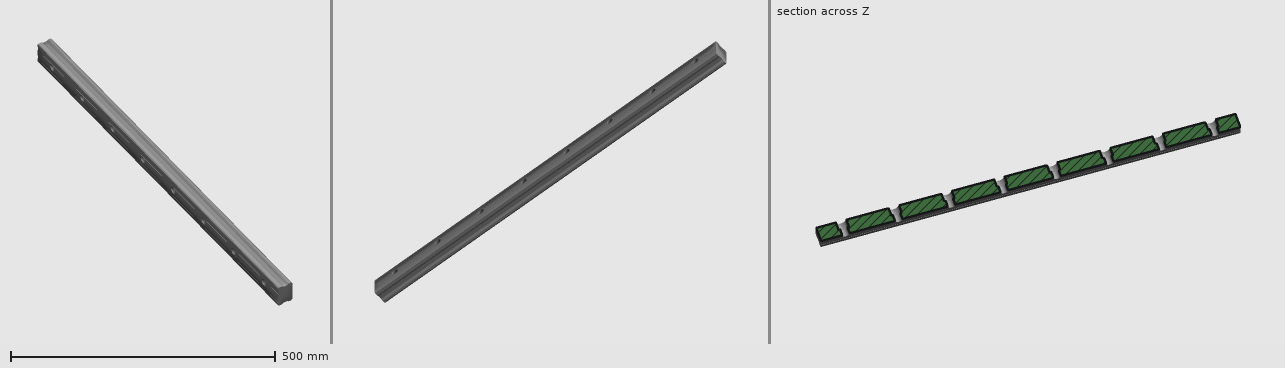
import cadquery as cq

length = 835.0
height = 32.0
width = 45.0

hole_pitch = 105.0
hole_count = 8
bolt_diameter = 14.0
bolt_head_diameter = 20.0
bolt_head_depth = 17.0

groove_depth = 2.5
groove_head_y = 8.5
groove_floor_top_y = 4.0
groove_floor_bottom_y = -4.0
lip_depth = 0.5
lip_y = -6.0
groove_base_y = -8.0

head_chamfer = 3.0
base_chamfer_y = 2.0
base_chamfer_z = 1.5

relief_depth = 0.5
relief_inner_z = bolt_diameter / 2
relief_outer_z = 14.5

base_y = -height / 2
head_y = height / 2
side_z = width / 2


def make_rail_body():
    """Grooved cross-section, symmetric about Z = 0, extruded along X."""
    floor_z = side_z - groove_depth
    relief_y = base_y + relief_depth
    upper_half = [
        (base_y, relief_inner_z),
        (relief_y, relief_inner_z),
        (relief_y, relief_outer_z),
        (base_y, relief_outer_z),
        (base_y, side_z - base_chamfer_z),
        (base_y + base_chamfer_y, side_z),
        (groove_base_y, side_z),
        (lip_y, side_z - lip_depth),
        (groove_floor_bottom_y, floor_z),
        (groove_floor_top_y, floor_z),
        (groove_head_y, side_z),
        (head_y - head_chamfer, side_z),
        (head_y, side_z - head_chamfer),
    ]
    lower_half = [(y, -z) for y, z in reversed(upper_half)]
    outline = cq.Workplane("YZ").polyline(upper_half + lower_half).close()
    return outline.extrude(length / 2, both=True)


def cut_mounting_holes(body):
    """Row of counterbored bolt holes, centred on the length."""
    head_face = cq.Workplane("XZ", origin=(0, head_y, 0))
    hole_centres = head_face.rarray(hole_pitch, 1, hole_count, 1)
    bolt_holes = hole_centres.circle(bolt_diameter / 2).extrude(height)
    head_recesses = hole_centres.circle(bolt_head_diameter / 2).extrude(bolt_head_depth)
    return body.cut(bolt_holes).cut(head_recesses)


result = cut_mounting_holes(make_rail_body())